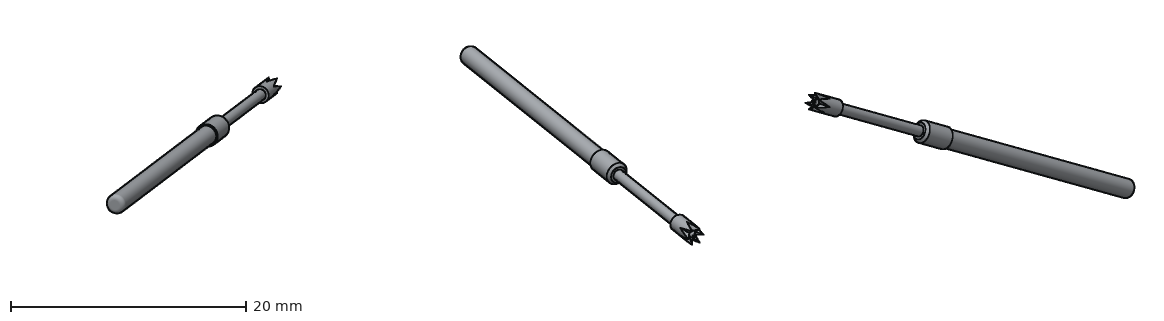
import cadquery as cq
import math

total_length = 37.8
tip_y = total_length / 2
rear_y = -total_length / 2

head_radius = 0.75
head_length = 3.0
head_rear_y = tip_y - head_length
point_count = 6
notch_depth = 1.5
ring_valley_depth = 0.65
center_point_radius = 0.02
ring_valley_radius = 0.3

shaft_radius = 0.5
collar_radius = 2.0 / 2
collar_length = 3.0
collar_chamfer = 0.25
collar_setback = 12.8
collar_front_y = tip_y - collar_setback
collar_rear_y = collar_front_y - collar_length
barrel_radius = 1.7 / 2
barrel_end_radius = 0.4

star_reach_factor = 1.5
star_length = 4 * head_length


def stem():
    """Revolve the barrel, collar and shaft up to the rear of the head."""
    corner_center_r = barrel_radius - barrel_end_radius
    corner_center_y = rear_y + barrel_end_radius
    corner_mid = (
        corner_center_r + barrel_end_radius * math.sin(math.pi / 4),
        corner_center_y - barrel_end_radius * math.cos(math.pi / 4),
    )
    return (
        cq.Workplane("XY")
        .moveTo(0, rear_y)
        .lineTo(corner_center_r, rear_y)
        .threePointArc(corner_mid, (barrel_radius, corner_center_y))
        .lineTo(barrel_radius, collar_rear_y)
        .lineTo(collar_radius, collar_rear_y)
        .lineTo(collar_radius, collar_front_y - collar_chamfer)
        .lineTo(collar_radius - collar_chamfer, collar_front_y)
        .lineTo(shaft_radius, collar_front_y)
        .lineTo(shaft_radius, head_rear_y)
        .lineTo(0, head_rear_y)
        .close()
        .revolve(360, (0, 0, 0), (0, 1, 0))
    )


def ring_valley():
    """V-shaped ring that parts the central point from the outer points, open towards +Y."""
    open_y = tip_y + ring_valley_depth
    return (
        cq.Workplane("XY")
        .moveTo(center_point_radius, open_y)
        .lineTo(center_point_radius, tip_y)
        .lineTo(ring_valley_radius, tip_y - ring_valley_depth)
        .lineTo(head_radius, tip_y)
        .lineTo(head_radius, open_y)
        .close()
        .revolve(360, (0, 0, 0), (0, 1, 0))
    )


def triangle(*corners):
    """Flat face through three corners."""
    return cq.Face.makeFromWires(cq.Wire.makePolygon(corners, close=True))


def star():
    """Solid with level ridges and falling valleys that run outwards from an apex at the tip."""
    apex = cq.Vector(0, tip_y, 0)
    base = cq.Vector(0, tip_y - star_length, 0)

    def rim_corner(index):
        angle = index * math.pi / point_count
        is_valley = index % 2 == 1
        reach = head_radius * star_reach_factor
        drop = notch_depth * star_reach_factor if is_valley else 0
        return cq.Vector(reach * math.cos(angle), tip_y - drop, reach * math.sin(angle))

    faces = []
    for index in range(2 * point_count):
        start = rim_corner(index)
        end = rim_corner(index + 1)
        faces.append(triangle(apex, start, end))
        faces.append(triangle(base, start, end))
    return cq.Workplane(obj=cq.Solid.makeSolid(cq.Shell.makeShell(faces)))


def crown_head():
    """Round head whose front is cut into the central point and the outer points."""
    blank = (
        cq.Workplane("XZ", origin=(0, head_rear_y, 0))
        .circle(head_radius)
        .extrude(-head_length)
    )
    return blank.intersect(star()).cut(ring_valley())


result = stem().union(crown_head())